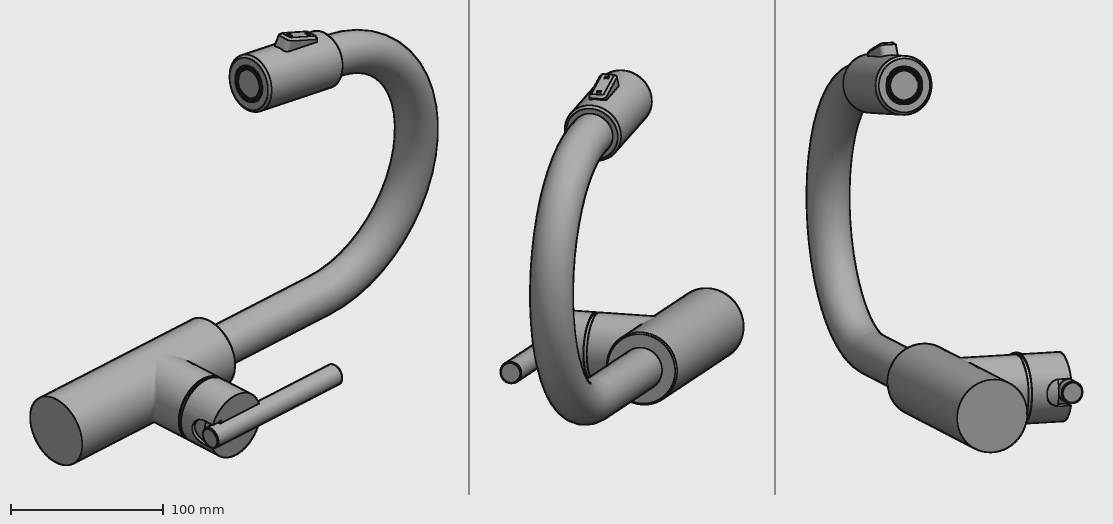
import cadquery as cq
import math

BODY_RADIUS = 24.3
BODY_LENGTH = 142.2
BODY_CHAMFER = 1.0

TUBE_RADIUS = 14.2
BEND_RADIUS = 89.5
BEND_START_Y = 346.8 - BEND_RADIUS - TUBE_RADIUS
HEAD_TILT = 8.5
NECK_LENGTH = 9.7

HEAD_RADIUS = 19.5
HEAD_LENGTH = 69.7
HEAD_CHAMFER = 1.7
GROOVE_OUTER_RADII = (12.5, 10.8)
GROOVE_WIDTH = 1.0
GROOVE_DEPTH = 1.7

BUTTON_REAR = 13.0
BUTTON_PEAK = 40.5
BUTTON_FRONT = 44.7
BUTTON_BASE_HEIGHT = 17.5
BUTTON_REAR_HEIGHT = 22.0
BUTTON_PEAK_HEIGHT = 27.7
BUTTON_WIDTH = 11.8
BUTTON_CHAMFER = 1.7
BUTTON_CORNER_RADIUS = 2.8
DIMPLE_SIZE = 2.5
DIMPLE_DEPTH = 1.0
DIMPLE_MARGIN = 5.2

HOUSING_RADIUS = 23.0
HOUSING_END_X = 77.7
HOUSING_Y = 88.5
HOUSING_FILLET = 2.5
SEAM_X = 49.0
SEAM_WIDTH = 2.5
SEAM_DEPTH = 1.0

LEVER_RADIUS = 7.3
LEVER_FRONT_Y = 65.0
LEVER_BACK_Y = 180.5
LEVER_CHAMFER = 0.7

SLOT_RADIUS = 9.0
SLOT_CENTER_X = 69.5
SLOT_SHALLOW_DEPTH = 2.5
SLOT_DEEP_DEPTH = 7.0


def cylinder_along_y(radius, start_y, end_y, x=0.0):
    plane = cq.Plane(origin=(x, start_y, 0), xDir=(1, 0, 0), normal=(0, 1, 0))
    return cq.Workplane(plane).circle(radius).extrude(end_y - start_y)


def cylinder_along_x(radius, start_x, end_x):
    plane = cq.Plane(origin=(start_x, HOUSING_Y, 0), xDir=(0, 1, 0), normal=(1, 0, 0))
    return cq.Workplane(plane).circle(radius).extrude(end_x - start_x)


def bend_point(angle):
    """Centreline point (y, z) after turning by the given angle from the straight run."""
    turn = math.radians(angle)
    y = BEND_START_Y + BEND_RADIUS * math.sin(turn)
    z = BEND_RADIUS * (1 - math.cos(turn))
    return y, z


BEND_ANGLE = 180 - HEAD_TILT
BEND_END_Y, BEND_END_Z = bend_point(BEND_ANGLE)
HEAD_START_Y = BEND_END_Y - NECK_LENGTH * math.cos(math.radians(HEAD_TILT))
HEAD_START_Z = BEND_END_Z + NECK_LENGTH * math.sin(math.radians(HEAD_TILT))


def make_spout():
    tube_start_y = BODY_LENGTH / 2
    path = (
        cq.Workplane("YZ")
        .moveTo(tube_start_y, 0)
        .lineTo(BEND_START_Y, 0)
        .threePointArc(bend_point(BEND_ANGLE / 2), (BEND_END_Y, BEND_END_Z))
        .lineTo(HEAD_START_Y, HEAD_START_Z)
    )
    start = cq.Plane(origin=(0, tube_start_y, 0), xDir=(1, 0, 0), normal=(0, 1, 0))
    return cq.Workplane(start).circle(TUBE_RADIUS).sweep(path)


def make_button():
    """Wedge rising toward the outlet, with rounded corners, bevelled top and two dimples."""
    button = (
        cq.Workplane("YZ")
        .polyline([
            (-BUTTON_REAR, BUTTON_BASE_HEIGHT),
            (-BUTTON_REAR, BUTTON_REAR_HEIGHT),
            (-BUTTON_PEAK, BUTTON_PEAK_HEIGHT),
            (-BUTTON_FRONT, BUTTON_BASE_HEIGHT),
        ])
        .close()
        .extrude(BUTTON_WIDTH / 2, both=True)
        .faces("<Y or >Y")
        .edges("not |X")
        .fillet(BUTTON_CORNER_RADIUS)
        .faces(">Z")
        .edges()
        .chamfer(BUTTON_CHAMFER)
    )
    slope = (BUTTON_PEAK_HEIGHT - BUTTON_REAR_HEIGHT) / (BUTTON_PEAK - BUTTON_REAR)
    slope_angle = math.degrees(math.atan(slope))
    for distance in (BUTTON_REAR + DIMPLE_MARGIN, BUTTON_PEAK - DIMPLE_MARGIN):
        height = BUTTON_REAR_HEIGHT + slope * (distance - BUTTON_REAR)
        dimple = (
            cq.Workplane("XY")
            .box(DIMPLE_SIZE, DIMPLE_SIZE, 2 * DIMPLE_DEPTH)
            .rotate((0, 0, 0), (1, 0, 0), -slope_angle)
            .translate((0, -distance, height))
        )
        button = button.cut(dimple)
    return button


def make_head():
    """Spray head with two ring grooves in its face.

    It is built along -Y from the origin, then tilted up and moved to the neck.
    """
    head = cylinder_along_y(HEAD_RADIUS, -HEAD_LENGTH, 0).edges().chamfer(HEAD_CHAMFER)
    groove_end_y = -HEAD_LENGTH + GROOVE_DEPTH
    for outer_radius in GROOVE_OUTER_RADII:
        groove = cylinder_along_y(outer_radius, -HEAD_LENGTH, groove_end_y).cut(
            cylinder_along_y(outer_radius - GROOVE_WIDTH, -HEAD_LENGTH, groove_end_y)
        )
        head = head.cut(groove)
    head = head.union(make_button())
    head = head.rotate((0, 0, 0), (1, 0, 0), -HEAD_TILT)
    return head.translate((0, HEAD_START_Y, HEAD_START_Z))


def make_body():
    """Body and valve housing, blended where they meet."""
    body = cylinder_along_y(BODY_RADIUS, 0, BODY_LENGTH).faces(">Y").chamfer(BODY_CHAMFER)
    body = body.union(cylinder_along_x(HOUSING_RADIUS, 0, HOUSING_END_X))
    junction = cq.selectors.BoxSelector(
        (0.5, HOUSING_Y - BODY_RADIUS, -BODY_RADIUS),
        (BODY_RADIUS + 0.5, HOUSING_Y + BODY_RADIUS, BODY_RADIUS),
        boundingbox=True,
    )
    return body.edges(junction).fillet(HOUSING_FILLET)


def make_seam():
    start_x = SEAM_X - SEAM_WIDTH / 2
    end_x = SEAM_X + SEAM_WIDTH / 2
    ring = cylinder_along_x(HOUSING_RADIUS, start_x, end_x)
    return ring.cut(cylinder_along_x(HOUSING_RADIUS - SEAM_DEPTH, start_x, end_x))


def make_slot():
    """Round-ended slot with a floor following the housing, deeper beside the lever."""
    front_y = HOUSING_Y - HOUSING_RADIUS
    slot_length = HOUSING_END_X - SLOT_CENTER_X
    outline = cylinder_along_y(SLOT_RADIUS, front_y, HOUSING_Y, SLOT_CENTER_X).union(
        cq.Workplane("XY")
        .box(slot_length, HOUSING_RADIUS, 2 * SLOT_RADIUS, centered=(False, False, True))
        .translate((SLOT_CENTER_X, front_y, 0))
    )
    shallow_core = cylinder_along_x(HOUSING_RADIUS - SLOT_SHALLOW_DEPTH, 0, SLOT_CENTER_X)
    deep_core = cylinder_along_x(HOUSING_RADIUS - SLOT_DEEP_DEPTH, 0, HOUSING_END_X)
    return outline.cut(shallow_core).cut(deep_core)


def make_lever():
    lever = cylinder_along_y(LEVER_RADIUS, LEVER_FRONT_Y, LEVER_BACK_Y, HOUSING_END_X)
    return lever.edges().chamfer(LEVER_CHAMFER)


result = (
    make_body()
    .cut(make_seam())
    .cut(make_slot())
    .union(make_lever())
    .union(make_spout())
    .union(make_head())
)